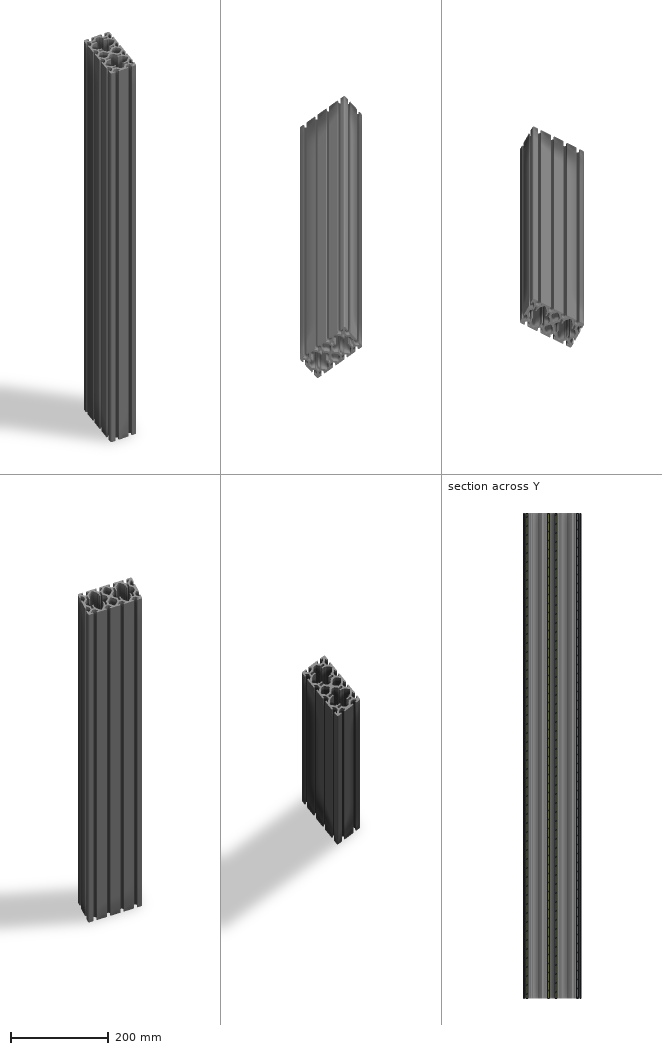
import cadquery as cq
import math

cell = 30.0
columns = 4
rows = 2
width = columns * cell
depth = rows * cell
length = 1000.0
half_cell = cell / 2
corner_radius = 3.0

arm = 4.0
arm_reach = arm / math.sqrt(2)

mouth = 7.5
lip = 3.0
slot_width = 15.0
floor_height = 5.5

column_core = 6.0
row_core = 6.5
column_wall = 4.0
row_wall = 6.0

bore_diameter = 5.0
bore_gap = 4.0
bore_wall = 2.0


def outer_slot():
    """T-slot of a cell centred on the origin, open toward +Y."""
    half_width = slot_width / 2
    lip_back = half_cell - lip
    right_side = [
        (mouth / 2, half_cell),
        (mouth / 2, lip_back),
        (half_width, lip_back),
        (half_width, half_width + arm_reach),
        (floor_height - arm_reach, floor_height),
    ]
    left_side = [(-x, y) for x, y in reversed(right_side)]
    return cq.Workplane("XY").polyline(right_side + left_side).close().extrude(length)


def closed_channel(end_wall, core_half):
    """Eight-sided channel on the joint of two cells, running along Y."""
    end = half_cell - end_wall
    end_half = end_wall - arm_reach
    flank = half_cell - core_half
    flank_half = core_half - arm_reach
    outline = [
        (end_half, end),
        (flank, flank_half),
        (flank, -flank_half),
        (end_half, -end),
        (-end_half, -end),
        (-flank, -flank_half),
        (-flank, flank_half),
        (-end_half, end),
    ]
    return cq.Workplane("XY").polyline(outline).close().extrude(length)


def screw_channel():
    """Round hole at the origin with a gap that opens it toward -Y."""
    bore = cq.Workplane("XY").circle(bore_diameter / 2).extrude(length)
    gap = cq.Workplane("XY").center(0, -half_cell / 2).rect(bore_gap, half_cell).extrude(length)
    return bore.union(gap)


def large_window():
    """Rectangular window where four cells meet, up to the centre line of each row."""
    window_width = cell - bore_diameter - 2 * bore_wall
    return cq.Workplane("XY").rect(window_width, cell).extrude(length)


def placed(shape, x, y, turn=0):
    return shape.rotate((0, 0, 0), (0, 0, 1), turn).translate((x, y, 0))


column_places = [(i - (columns - 1) / 2) * cell for i in range(columns)]
row_places = [(j - (rows - 1) / 2) * cell for j in range(rows)]
column_joints = [x + half_cell for x in column_places[:-1]]
window_places = [column_joints[0], column_joints[-1]]

slot = outer_slot()
column_channel = closed_channel(column_wall, column_core)
row_channel = closed_channel(row_wall, row_core)
screw = screw_channel()
window = large_window()

cutters = []

for x in column_places:
    cutters.append(placed(slot, x, row_places[-1]))
    cutters.append(placed(slot, x, row_places[0], 180))
    cutters.append(placed(screw, x, row_places[-1]))
    cutters.append(placed(screw, x, row_places[0], 180))
    cutters.append(placed(row_channel, x, 0, 90))

for y in row_places:
    cutters.append(placed(slot, column_places[0], y, 90))
    cutters.append(placed(slot, column_places[-1], y, -90))
    for x in column_joints:
        cutters.append(placed(column_channel, x, y))

for x in window_places:
    cutters.append(placed(window, x, 0))

profile = cq.Workplane("XY").rect(width, depth).extrude(length)
profile = profile.edges("|Z").fillet(corner_radius)
for cutter in cutters:
    profile = profile.cut(cutter)

result = profile